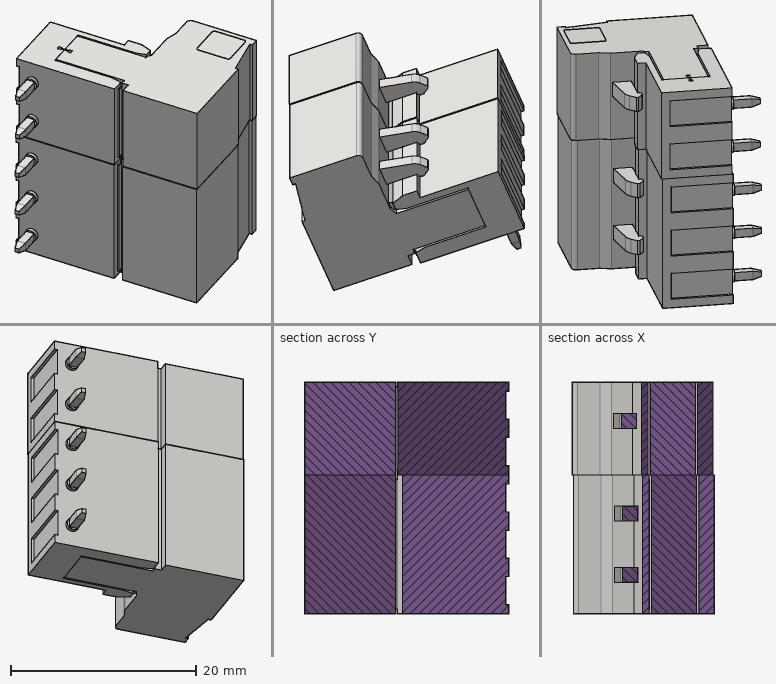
import cadquery as cq


PITCH = 5.0
LOWER_POLES = 3
UPPER_POLES = 2
LOWER_SHIFT = 0.12

HEADER_LENGTH = 12.02
HEADER_HEIGHT = 7.75
SLOT_START = 3.8
SLOT_BOTTOM = 1.7
SLOT_TOP = 7.0
SLOT_LEAD_IN = 1.15
LEAD_IN_RISE = 0.3
RIDGE_START = 9.05
RIDGE_SLOPE_START = 10.7
RIDGE_TOP = 8.68
RIDGE_NOSE = 8.15
END_LIP_LENGTH = 0.15
END_LIP_BOTTOM = 0.8
END_LIP_TOP = SLOT_BOTTOM - LEAD_IN_RISE

POCKET_DEPTH = 0.32
POCKET_WIDTH = 3.0
POCKET_HEIGHT = 6.8

PIN_X = 1.98
PIN_WIDTH = 0.98
PIN_TIP_WIDTH = 0.5
PIN_TAPER_START = 2.45
PIN_LENGTH = 3.45
COLLAR_DIAMETER = 1.42
COLLAR_HEIGHT = 0.42

TONGUE_BOTTOM = 1.9
TONGUE_TOP = 6.8
SHOULDER_X = 12.18
SHOULDER_BOTTOM = 1.38
PLUG_FRONT = 12.95
LATCH_WALL = 12.55
LATCH_WALL_BOTTOM = 7.58
LATCH_WALL_TOP = 10.98
UPPER_FRONT_BOTTOM = 12.22
PLUG_BACK = 22.02
PLUG_BOTTOM = 0.18
PLUG_TOP = 15.2
TOP_CORNER_RADIUS = 0.55
BACK_STEP_X = 21.68
BACK_STEP_Y = 9.58
BACK_NOTCH_X = 20.92
BACK_NOTCH_Y = 14.25
BACK_LIP_X = 21.25

RIB_TOP = 8.08
RIB_RADIUS = 0.25
END_INSET = 0.5

LATCH_WIDTH = 1.62
LATCH_OFFSET = 1.7
LATCH_ROOT_TOP = 10.75
LATCH_BEND = (9.05, 10.1)
LATCH_BEND_MID = (8.62, 9.95)
LATCH_BEND_END = (8.25, 9.68)
LATCH_NOSE_X = 7.65
LATCH_NOSE_TOP = 9.05
LATCH_NOSE_BOTTOM = 8.8
LATCH_HOOK_START = 8.38
LATCH_HOOK_END = 8.75
LATCH_HOOK_BOTTOM = 8.25
LATCH_HOOK_HEEL = 8.5

LABEL_X = 18.28
LABEL_Y = 12.68
LABEL_WIDTH = 4.05
LABEL_HEIGHT = 3.95
LABEL_RADIUS = 0.25
MARK_Y = 3.95
MARK_LENGTH = 0.8
MARK_WIDTH = 0.45
ENGRAVING_DEPTH = 0.05


def pole_centres(poles):
    return [PITCH * (index + 0.5) for index in range(poles)]


def block(x_range, y_range, z_range):
    """Axis-aligned box given by its two limits on each axis."""
    sizes = [high - low for low, high in (x_range, y_range, z_range)]
    corner = (x_range[0], y_range[0], z_range[0])
    return cq.Workplane("XY").box(*sizes, centered=False).translate(corner)


def header_pin(z):
    """Round collar and square pin with a pyramid tip, pointing to -Y."""
    board_face = cq.Workplane("XZ", origin=(PIN_X, 0, z))
    collar = board_face.circle(COLLAR_DIAMETER / 2).extrude(COLLAR_HEIGHT)
    shank = board_face.rect(PIN_WIDTH, PIN_WIDTH).extrude(PIN_TAPER_START)
    tip = (
        board_face.workplane(offset=PIN_TAPER_START)
        .rect(PIN_WIDTH, PIN_WIDTH)
        .workplane(offset=PIN_LENGTH - PIN_TAPER_START)
        .rect(PIN_TIP_WIDTH, PIN_TIP_WIDTH)
        .loft(combine=True)
    )
    return collar.union(shank).union(tip)


def make_header(poles):
    height = poles * PITCH
    lead_in_x = HEADER_LENGTH - SLOT_LEAD_IN
    outline = [
        (0, 0),
        (HEADER_LENGTH, 0),
        (HEADER_LENGTH, SLOT_BOTTOM - LEAD_IN_RISE),
        (lead_in_x, SLOT_BOTTOM),
        (SLOT_START, SLOT_BOTTOM),
        (SLOT_START, SLOT_TOP),
        (lead_in_x, SLOT_TOP),
        (HEADER_LENGTH, SLOT_TOP + LEAD_IN_RISE),
        (HEADER_LENGTH, RIDGE_NOSE),
        (RIDGE_SLOPE_START, RIDGE_TOP),
        (RIDGE_START, RIDGE_TOP),
        (RIDGE_START, HEADER_HEIGHT),
        (0, HEADER_HEIGHT),
    ]
    header = cq.Workplane("XY").polyline(outline).close().extrude(height)

    end_lip = block(
        (HEADER_LENGTH, HEADER_LENGTH + END_LIP_LENGTH),
        (END_LIP_BOTTOM, END_LIP_TOP),
        (END_INSET, height - END_INSET),
    )
    header = header.union(end_lip)

    for z in pole_centres(poles):
        pocket = block(
            (0, POCKET_DEPTH),
            (0, POCKET_HEIGHT),
            (z - POCKET_WIDTH / 2, z + POCKET_WIDTH / 2),
        )
        header = header.cut(pocket).union(header_pin(z))
    return header


def latch_arm(z):
    """Arm that hooks over the header's ridge, centred on height z."""
    return (
        cq.Workplane("XY", origin=(0, 0, z - LATCH_WIDTH / 2))
        .moveTo(PLUG_FRONT, RIDGE_TOP)
        .lineTo(PLUG_FRONT, LATCH_WALL_TOP)
        .lineTo(LATCH_WALL, LATCH_ROOT_TOP)
        .lineTo(*LATCH_BEND)
        .threePointArc(LATCH_BEND_MID, LATCH_BEND_END)
        .lineTo(LATCH_NOSE_X, LATCH_NOSE_TOP)
        .lineTo(LATCH_NOSE_X, LATCH_NOSE_BOTTOM)
        .lineTo(LATCH_HOOK_START, LATCH_HOOK_BOTTOM)
        .lineTo(LATCH_HOOK_END, LATCH_HOOK_BOTTOM)
        .lineTo(RIDGE_START, LATCH_HOOK_HEEL)
        .lineTo(RIDGE_START, RIDGE_TOP)
        .close()
        .extrude(LATCH_WIDTH)
    )


def plug_body(height):
    outline = [
        (PLUG_FRONT, PLUG_BOTTOM),
        (PLUG_FRONT, SHOULDER_BOTTOM),
        (SHOULDER_X, SHOULDER_BOTTOM),
        (SHOULDER_X, TONGUE_BOTTOM),
        (SLOT_START, TONGUE_BOTTOM),
        (SLOT_START, TONGUE_TOP),
        (SHOULDER_X, TONGUE_TOP),
        (LATCH_WALL, LATCH_WALL_BOTTOM),
        (LATCH_WALL, LATCH_WALL_TOP),
        (PLUG_FRONT, UPPER_FRONT_BOTTOM),
        (PLUG_FRONT, PLUG_TOP),
        (BACK_LIP_X, PLUG_TOP),
        (BACK_LIP_X, BACK_NOTCH_Y),
        (BACK_NOTCH_X, BACK_NOTCH_Y),
        (BACK_STEP_X, BACK_STEP_Y),
        (PLUG_BACK, BACK_STEP_Y),
        (PLUG_BACK, PLUG_BOTTOM),
    ]
    body = cq.Workplane("XY").polyline(outline).close().extrude(height)
    top_corner = cq.selectors.NearestToPointSelector((PLUG_FRONT, PLUG_TOP, height / 2))
    return body.edges("|Z").edges(top_corner).fillet(TOP_CORNER_RADIUS)


def make_plug(poles):
    height = poles * PITCH
    plug = plug_body(height)

    rib = block(
        (SHOULDER_X, PLUG_FRONT),
        (SLOT_TOP, RIB_TOP),
        (END_INSET, height - END_INSET),
    )
    plug = plug.union(rib.edges("|Z and <X and >Y").fillet(RIB_RADIUS))

    centres = pole_centres(poles)
    latch_centres = [centres[-1] - LATCH_OFFSET]
    if poles > UPPER_POLES:
        latch_centres.append(centres[0] + LATCH_OFFSET)
    for z in latch_centres:
        plug = plug.union(latch_arm(z))
    return plug


def label_recess(top):
    """Rounded square recess in the plug's top face."""
    return (
        cq.Workplane("XY", origin=(LABEL_X, LABEL_Y, top - ENGRAVING_DEPTH))
        .rect(LABEL_WIDTH, LABEL_HEIGHT)
        .extrude(ENGRAVING_DEPTH)
        .edges("|Z")
        .fillet(LABEL_RADIUS)
    )


def mating_mark(top, direction):
    """Triangle whose point touches the joint; direction is -1 (header) or +1 (plug)."""
    base_x = SLOT_START + direction * MARK_LENGTH
    corners = [
        (SLOT_START, MARK_Y),
        (base_x, MARK_Y - MARK_WIDTH / 2),
        (base_x, MARK_Y + MARK_WIDTH / 2),
    ]
    floor = cq.Workplane("XY", origin=(0, 0, top - ENGRAVING_DEPTH))
    return floor.polyline(corners).close().extrude(ENGRAVING_DEPTH)


lower_place = (0, -LOWER_SHIFT, 0)
lower_header = make_header(LOWER_POLES).translate(lower_place)
lower_plug = make_plug(LOWER_POLES).translate(lower_place)

upper_height = UPPER_POLES * PITCH
upper_place = (0, 0, LOWER_POLES * PITCH)
upper_header = make_header(UPPER_POLES).cut(mating_mark(upper_height, -1)).translate(upper_place)
upper_plug = (
    make_plug(UPPER_POLES)
    .cut(label_recess(upper_height))
    .cut(mating_mark(upper_height, 1))
    .translate(upper_place)
)

result = cq.Compound.makeCompound(
    [lower_header.val(), lower_plug.val(), upper_header.val(), upper_plug.val()]
)